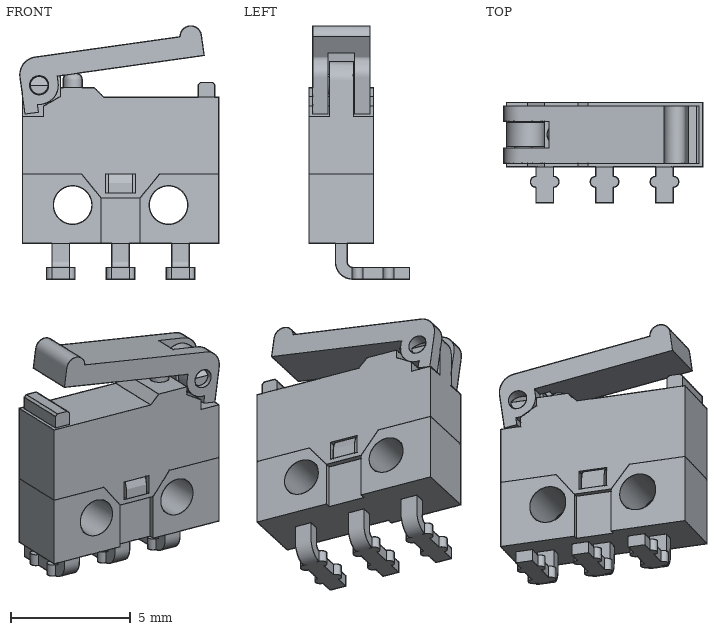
import cadquery as cq
import math


length = 8.2
depth = 2.7
half_depth = depth / 2
mid_x = length / 2
split_z = 2.9
roof_z = 6.1

hole_dia = 1.6
hole_pitch = 4.0
hole_z = 1.6

flap_depth = 0.25
flap_top_half = 1.63
flap_bottom_half = 0.82
flap_bottom_z = 1.9

window_width = 1.24
window_bottom_z = 2.1
tooth_width = 1.0
tooth_ramp_z = 2.52
tooth_ramp_depth = 0.12

platform_z = 6.5
platform_end_x = 3.0
platform_foot_x = 3.4

post_width = 1.0
post_radius = 0.8
post_arc_z = 6.8
pocket_floor_z = 5.3
pocket_step_x = 0.89
pocket_step_z = 5.73
pocket_back_z = 6.14

pin_x = 0.7
pin_z = 6.6
pin_dia = 0.74
pin_tip_y = 1.0

stop_left_x = 7.34
stop_right_x = 8.04
stop_top_z = 6.72
stop_chamfer = 0.1

plunger_dia = 0.8
plunger_x = 2.1
plunger_top_z = 7.1
plunger_round = 0.27

lever_width = 2.4
lever_tilt = 8.0
lever_underside = 0.27
lever_top = 1.19
lever_back = -0.75
lever_end = 7.0
lever_corner_radius = 0.75
hub_radius = 0.8
toe_front = -0.185
toe_bottom = -1.11
lever_hole_dia = 0.8
slot_width = 1.1
slot_end = 1.25
bump_radius = 0.45
bump_height = 1.13

terminal_count = 3
terminal_pitch = 2.5
terminal_width = 0.74
terminal_thickness = 0.5
terminal_bottom_z = -1.5
terminal_tip_y = -2.85
bend_radius = 0.23
ear_radius = 0.23
ear_positions = (-0.68, -1.97)


def block(x_range, y_range, z_range):
    """Box between the given limits."""
    size = [high - low for low, high in (x_range, y_range, z_range)]
    corner = (x_range[0], y_range[0], z_range[0])
    return cq.Workplane("XY").box(*size, centered=False).translate(corner)


def across(sketch, width):
    """Extrude an XZ outline symmetrically about Y = 0."""
    return sketch.extrude(width / 2, both=True)


def on_both_faces(feature):
    """A feature of the -Y face together with its mirror on the +Y face."""
    return feature.add(feature.mirror("XZ").vals()).combine()


def flap():
    """Tapered tongue of the cover, in the plane of the -Y face."""
    return (
        cq.Workplane("XZ", origin=(0, flap_depth - half_depth, 0))
        .polyline([
            (mid_x - flap_top_half, split_z),
            (mid_x - flap_bottom_half, flap_bottom_z),
            (mid_x + flap_bottom_half, flap_bottom_z),
            (mid_x + flap_top_half, split_z),
        ])
        .close()
        .extrude(flap_depth)
    )


def flap_window():
    """Opening in the flap, up to the parting plane."""
    return block(
        (mid_x - window_width / 2, mid_x + window_width / 2),
        (-half_depth, flap_depth - half_depth),
        (window_bottom_z, split_z),
    )


def snap_tooth():
    """Tooth flush with the -Y face, with a ramp sloping in towards its top."""
    root_y = flap_depth - half_depth
    return (
        cq.Workplane("YZ", origin=(mid_x, 0, 0))
        .polyline([
            (root_y, window_bottom_z),
            (-half_depth, window_bottom_z),
            (-half_depth, tooth_ramp_z),
            (tooth_ramp_depth - half_depth, split_z),
            (root_y, split_z),
        ])
        .close()
        .extrude(tooth_width / 2, both=True)
    )


def make_base():
    center_recess = block(
        (mid_x - flap_bottom_half, mid_x + flap_bottom_half),
        (-half_depth, flap_depth - half_depth),
        (0, flap_bottom_z),
    )
    mounting_holes = across(
        cq.Workplane("XZ")
        .pushPoints([(mid_x + side * hole_pitch / 2, hole_z) for side in (-1, 1)])
        .circle(hole_dia / 2),
        depth,
    )
    return (
        block((0, length), (-half_depth, half_depth), (0, split_z))
        .cut(on_both_faces(center_recess))
        .cut(on_both_faces(flap()))
        .cut(mounting_holes)
        .union(on_both_faces(snap_tooth()))
    )


def cover_shell():
    """Cover body with its raised platform and the pockets beside the post."""
    outline = (
        cq.Workplane("XZ")
        .polyline([
            (0, split_z),
            (0, pocket_floor_z),
            (pocket_step_x, pocket_floor_z),
            (pocket_step_x, pocket_step_z),
            (2 * post_radius, pocket_back_z),
            (2 * post_radius, platform_z),
            (platform_end_x, platform_z),
            (platform_foot_x, roof_z),
            (length, roof_z),
            (length, split_z),
        ])
        .close()
    )
    return across(outline, depth)


def hinge_post():
    outline = (
        cq.Workplane("XZ")
        .moveTo(0, split_z)
        .lineTo(0, post_arc_z)
        .threePointArc((post_radius, post_arc_z + post_radius), (2 * post_radius, post_arc_z))
        .lineTo(2 * post_radius, split_z)
        .close()
    )
    return across(outline, post_width)


def hinge_pin():
    """Pin through the post; the upper half of each end is cut back at 45 degrees."""
    pin_radius = pin_dia / 2
    pin = across(cq.Workplane("XZ", origin=(pin_x, 0, pin_z)).circle(pin_radius), 2 * pin_tip_y)
    end_ramp = (
        cq.Workplane("YZ", origin=(pin_x, 0, pin_z))
        .polyline([(-pin_tip_y, 0), (-pin_tip_y, pin_radius), (pin_radius - pin_tip_y, pin_radius)])
        .close()
        .extrude(pin_radius, both=True)
    )
    return pin.cut(on_both_faces(end_ramp))


def stop_bar():
    bar = block(
        (stop_left_x, stop_right_x),
        (-lever_width / 2, lever_width / 2),
        (roof_z, stop_top_z),
    )
    return bar.faces(">Z").edges("|Y").chamfer(stop_chamfer)


def plunger():
    """Round-topped button, trimmed to the underside of the resting lever."""
    height = plunger_top_z - platform_z
    button = (
        cq.Workplane("XY", origin=(plunger_x, 0, platform_z))
        .circle(plunger_dia / 2)
        .extrude(height)
        .faces(">Z")
        .edges()
        .fillet(plunger_round)
    )
    above_underside = block(
        (0, lever_end),
        (-lever_width / 2, lever_width / 2),
        (lever_underside, lever_top),
    )
    return button.cut(place_lever(above_underside))


def make_cover():
    return (
        cover_shell()
        .union(on_both_faces(flap().cut(flap_window())))
        .union(hinge_post())
        .union(hinge_pin())
        .union(stop_bar())
        .union(plunger())
    )


def place_lever(shape):
    """Tilt a shape from the lever frame and move it onto the pin axis."""
    return shape.rotate((0, 0, 0), (0, 1, 0), -lever_tilt).translate((pin_x, 0, pin_z))


def make_lever():
    toe_top = -math.sqrt(hub_radius**2 - toe_front**2)
    hub_mid = hub_radius * math.sqrt(0.5)
    corner_z = lever_top - lever_corner_radius
    corner_x = lever_back + lever_corner_radius
    corner_mid = lever_corner_radius * math.sqrt(0.5)
    bump_x = lever_end - bump_radius
    bump_foot_x = bump_x - math.sqrt(bump_radius**2 - (lever_top - bump_height)**2)

    outline = (
        cq.Workplane("XZ")
        .moveTo(lever_back, toe_bottom)
        .lineTo(toe_front, toe_bottom)
        .lineTo(toe_front, toe_top)
        .threePointArc((hub_mid, -hub_mid), (hub_radius, 0))
        .lineTo(hub_radius, lever_underside)
        .lineTo(lever_end, lever_underside)
        .lineTo(lever_end, bump_height)
        .threePointArc((bump_x, bump_height + bump_radius), (bump_foot_x, lever_top))
        .lineTo(corner_x, lever_top)
        .threePointArc((corner_x - corner_mid, corner_z + corner_mid), (lever_back, corner_z))
        .close()
    )
    post_slot = block(
        (lever_back, slot_end),
        (-slot_width / 2, slot_width / 2),
        (toe_bottom, lever_top),
    )
    pin_hole = across(cq.Workplane("XZ").circle(lever_hole_dia / 2), lever_width)
    return place_lever(across(outline, lever_width).cut(post_slot).cut(pin_hole))


def make_terminal(x):
    """L-shaped terminal centred at x, with two pairs of rounded ears on its foot."""
    foot_top_z = terminal_bottom_z + terminal_thickness
    front_y = -terminal_thickness / 2
    back_y = terminal_thickness / 2
    bend_y = front_y - bend_radius
    bend_z = foot_top_z + bend_radius
    outer_radius = bend_radius + terminal_thickness
    terminal = (
        cq.Workplane("YZ", origin=(x, 0, 0))
        .moveTo(front_y, 0)
        .lineTo(front_y, bend_z)
        .radiusArc((bend_y, foot_top_z), bend_radius)
        .lineTo(terminal_tip_y, foot_top_z)
        .lineTo(terminal_tip_y, terminal_bottom_z)
        .lineTo(bend_y, terminal_bottom_z)
        .radiusArc((back_y, bend_z), -outer_radius)
        .lineTo(back_y, 0)
        .close()
        .extrude(terminal_width / 2, both=True)
    )
    ears = (
        cq.Workplane("XY", origin=(x, 0, terminal_bottom_z))
        .pushPoints([(side * terminal_width / 2, y) for side in (-1, 1) for y in ear_positions])
        .circle(ear_radius)
        .extrude(terminal_thickness)
    )
    return terminal.union(ears)


base = make_base()
cover = make_cover()
lever = make_lever()
terminals = [
    make_terminal(mid_x + (i - (terminal_count - 1) / 2) * terminal_pitch)
    for i in range(terminal_count)
]

result = cq.Compound.makeCompound([
    base.solids().val(),
    cover.solids().val(),
    lever.solids().val(),
    *[terminal.solids().val() for terminal in terminals],
])